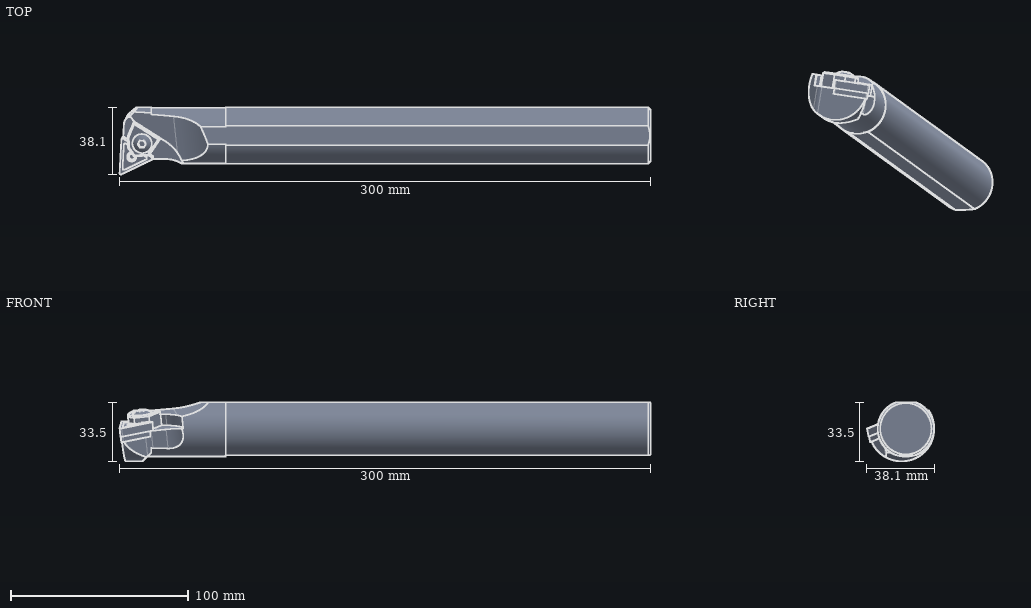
import cadquery as cq
import math


bar_length = 300.0
shank_radius = 16.0
shank_flat_height = 15.0
tail_chamfer = 1.5
head_length = 60.0
head_radius = 15.8

jaw_radius = 18.49
jaw_offset_y = -2.4
jaw_length = 18.0
jaw_bevel = 5.0

corner_y = -22.0
tilt_along_bar = 0.105
tilt_across_bar = 0.20
seat_frame = cq.Plane(
    origin=(0, corner_y, 0),
    xDir=(1, 0, tilt_along_bar),
    normal=(-tilt_along_bar, -tilt_across_bar, 1),
)
reach = 60.0

insert_edge = 22.0
insert_thickness = 4.76
nose_radius = 0.8
insert_hole_radius = 2.58
land_width = 1.6
chipbreaker_depth = 0.4
shim_thickness = 3.2
shim_inset = 0.15
lead_angle = 4.2
side_angle = 90 - 60 - lead_angle

top_level = 1.65
runout_start = 32.3
runout_radius = 40.0
runout_turn = 5.0
runout_sweep = 50.0
front_setback = 0.45
flank_inset = 0.7
corner_chamfer_start = 29.9
corner_chamfer_angle = 45.0
corner_blend_radius = 5.0
relief_v = 7.9
relief_runout_start = 26.0
relief_runout_radius = 17.0
relief_runout_angle = 45.0
relief_fillet = 8.0

pocket_corner = (7.4, 33.3)
pocket_wall_start = (8.9, 31.0)
pocket_wall_end = (26.7, 19.4)
pocket_arc_end = (35.8, 8.0)

clamp_outline = [
    (9.6, 30.5),
    (23.9, 21.2),
    (17.3, 11.5),
    (8.8, 11.0),
    (5.4, 16.0),
    (5.4, 22.5),
    (8.6, 30.0),
]
clamp_top = 3.8
clamp_bevel = 0.8
screw_center = (13.6, 18.6)
screw_rim_radius = 5.5
screw_height = 2.2
socket_width = 4.6
socket_depth = 2.5
pin_top = -0.8
pin_socket_width = 3.8
pin_socket_depth = 1.5


def along(angle, distance, start=(0.0, 0.0)):
    """Point at a distance from start, in the direction given in degrees from U."""
    return (
        start[0] + distance * math.cos(math.radians(angle)),
        start[1] + distance * math.sin(math.radians(angle)),
    )


def seat_plane(level):
    """Workplane parallel to the insert seat, at a height W above the cutting edges."""
    return cq.Workplane(seat_frame).workplane(offset=level)


bisector_angle = side_angle + 30
nose_center = (nose_radius, nose_radius)
sharp_corner = along(bisector_angle + 180, 2 * nose_radius, nose_center)
inscribed_radius = insert_edge / (2 * math.sqrt(3))
insert_center = along(bisector_angle, 2 * inscribed_radius, sharp_corner)


def triangle_prism(inset, bottom, top):
    """Round-cornered triangle, parallel to the insert outline and inset from it."""
    corner_distance = 2 * (inscribed_radius - inset)
    corners = [along(bisector_angle + 180 + turn, corner_distance, insert_center) for turn in (0, 120, 240)]
    prism = seat_plane(bottom).polyline(corners).close().extrude(top - bottom)
    return prism.edges(cq.selectors.ParallelDirSelector(seat_frame.zDir)).fillet(nose_radius)


def make_insert():
    body = triangle_prism(0, -insert_thickness, 0)
    body = body.cut(triangle_prism(land_width, -chipbreaker_depth, 1))
    hole = seat_plane(-insert_thickness).center(*insert_center).circle(insert_hole_radius).extrude(reach)
    return body.cut(hole)


def make_shank():
    shank = cq.Workplane("YZ").workplane(offset=head_length).circle(shank_radius)
    shank = shank.extrude(bar_length - head_length).faces(">X").chamfer(tail_chamfer)
    flats = cq.Workplane("XY").box(2 * bar_length, reach, 2 * shank_flat_height)
    return shank.intersect(flats)


def make_jaw():
    jaw = cq.Workplane("YZ").center(jaw_offset_y, 0).circle(jaw_radius).extrude(jaw_length)
    bevel = (
        cq.Workplane("XZ", origin=(0, reach / 2, 0))
        .moveTo(jaw_length - jaw_bevel, -jaw_radius)
        .lineTo(jaw_length + 1, -jaw_radius + jaw_bevel + 1)
        .lineTo(jaw_length + 1, -jaw_radius)
        .close()
        .extrude(reach)
    )
    return jaw.cut(bevel)


def head_outline():
    """Front face, corner chamfer, trailing flank and side relief, all square to the seat."""
    front_foot = front_setback / math.cos(math.radians(lead_angle))
    front_slope = math.tan(math.radians(lead_angle))

    def front_u(v):
        return front_foot + front_slope * v

    chamfer_corner = (front_u(corner_chamfer_start), corner_chamfer_start)
    blend_turn = corner_chamfer_angle - lead_angle
    blend_length = corner_blend_radius * math.tan(math.radians(blend_turn / 2))
    blend_start = along(270 - lead_angle, blend_length, chamfer_corner)
    blend_end = along(corner_chamfer_angle, blend_length, chamfer_corner)

    flank_start = along(side_angle + 90, flank_inset, sharp_corner)
    flank_run = (relief_v - flank_start[1]) / math.sin(math.radians(side_angle))
    flank_end = along(side_angle, flank_run, flank_start)
    fillet_length = relief_fillet * math.tan(math.radians(side_angle / 2))
    fillet_start = (flank_end[0] + fillet_length, relief_v)
    fillet_end = along(side_angle + 180, fillet_length, flank_end)

    runout_center = (relief_runout_start, relief_v - relief_runout_radius)
    runout_middle = along((90 + relief_runout_angle) / 2, relief_runout_radius, runout_center)
    runout_end = along(relief_runout_angle, relief_runout_radius, runout_center)
    front_tip = (front_u(flank_start[1]), flank_start[1])

    return (
        seat_plane(-reach / 2)
        .moveTo(*front_tip)
        .lineTo(*blend_start)
        .tangentArcPoint(blend_end, relative=False)
        .lineTo(*along(corner_chamfer_angle, reach, chamfer_corner))
        .lineTo(2 * reach, reach)
        .lineTo(2 * reach, -reach / 2)
        .lineTo(runout_end[0] + reach / 4, runout_end[1] - reach / 4)
        .lineTo(*runout_end)
        .threePointArc(runout_middle, (relief_runout_start, relief_v))
        .lineTo(*fillet_start)
        .tangentArcPoint(fillet_end, relative=False)
        .lineTo(*flank_start)
        .close()
        .extrude(reach)
    )


def above_flat():
    """Everything above the flat that runs on from the shank along the top of the head."""
    plane = cq.Workplane("XY", origin=(0, 0, shank_flat_height))
    return plane.rect(2 * bar_length, reach).extrude(reach)


def top_cut():
    """Flat top of the head, parallel to the seat, rising to the shank on a large arc."""
    plane = cq.Plane(
        origin=seat_frame.toWorldCoords((0, -corner_y, top_level)),
        xDir=seat_frame.xDir,
        normal=seat_frame.zDir,
    ).rotated((0, 0, runout_turn)).rotated((90, 0, 0))
    center = (runout_start, runout_radius)
    arc_middle = along(runout_sweep / 2 - 90, runout_radius, center)
    arc_end = along(runout_sweep - 90, runout_radius, center)
    return (
        cq.Workplane(plane)
        .moveTo(-reach, 0)
        .lineTo(runout_start, 0)
        .threePointArc(arc_middle, arc_end)
        .lineTo(-reach, arc_end[1])
        .close()
        .extrude(reach, both=True)
    )


def chip_pocket():
    """Pocket above the seat: opens to the front and the side, with a curved rear wall."""
    return (
        seat_plane(-insert_thickness)
        .moveTo(-reach, -reach)
        .lineTo(-reach, pocket_corner[1])
        .lineTo(*pocket_corner)
        .lineTo(*pocket_wall_start)
        .lineTo(*pocket_wall_end)
        .tangentArcPoint(pocket_arc_end, relative=False)
        .lineTo(pocket_arc_end[0], -reach)
        .close()
        .extrude(reach)
    )


def make_clamp():
    """Clamp plate reaching down to the seat, with its domed screw head."""
    plate = seat_plane(-insert_thickness).polyline(clamp_outline).close()
    plate = plate.extrude(insert_thickness + clamp_top)
    plate = plate.faces(cq.selectors.DirectionMinMaxSelector(seat_frame.zDir)).chamfer(clamp_bevel)
    dome_radius = (screw_rim_radius**2 + screw_height**2) / (2 * screw_height)
    dome = seat_plane(clamp_top + screw_height - dome_radius).center(*screw_center).sphere(dome_radius)
    screw = seat_plane(clamp_top).center(*screw_center).circle(screw_rim_radius).extrude(screw_height)
    screw = screw.intersect(dome)
    socket = seat_plane(clamp_top + screw_height).center(*screw_center)
    socket = socket.polygon(6, socket_width).extrude(-socket_depth)
    return plate.union(screw).cut(socket)


def make_pin():
    """Pin that fills the insert hole, with a hexagon socket."""
    pin = seat_plane(-insert_thickness).center(*insert_center).circle(insert_hole_radius)
    pin = pin.extrude(insert_thickness + pin_top)
    socket = seat_plane(pin_top).center(*insert_center).polygon(6, pin_socket_width)
    return pin.cut(socket.extrude(-pin_socket_depth))


def make_holder(insert):
    """Bar with its shim, clamp, screw and pin as one solid."""
    head = cq.Workplane("YZ").circle(head_radius).extrude(head_length)
    head = head.union(make_jaw()).intersect(head_outline())
    head = head.cut(above_flat()).cut(top_cut()).cut(chip_pocket())
    shim = triangle_prism(shim_inset, -insert_thickness - shim_thickness, -insert_thickness)
    clamp = make_clamp().cut(insert)
    return head.union(make_shank()).union(shim).union(clamp).union(make_pin())


insert = make_insert()
holder = make_holder(insert)

result = cq.Compound.makeCompound([holder.val(), insert.val()])